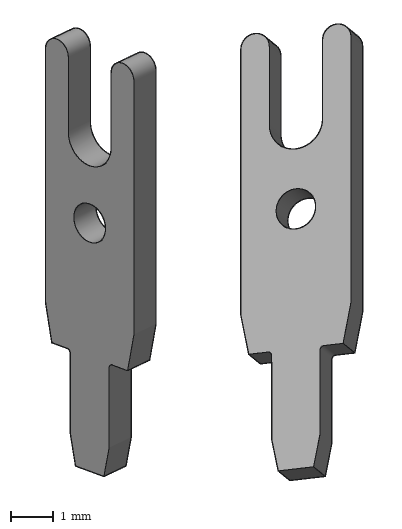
import cadquery as cq

width = 2.8
thickness = 0.8
body_height = 8.0
tail_length = 3.0

slot_radius = 0.675
slot_depth = 3.0
prong_width = width / 2 - slot_radius
prong_radius = prong_width / 2

hole_diameter = 1.0
hole_z = 3.5

shoulder_width = 2.4
shoulder_taper_height = 1.0

tail_width = 1.23
tip_width = 0.9
tip_taper_height = 0.8
root_radius = 0.1


def plate_outline():
    """Closed outline in XZ, symmetric about X = 0, shoulders at Z = 0, starting at the tip's left corner."""
    half_width = width / 2
    half_shoulder = shoulder_width / 2
    half_tail = tail_width / 2
    half_tip = tip_width / 2
    prong_arc_z = body_height - prong_radius
    prong_x = half_width - prong_radius
    slot_bottom_z = body_height - slot_depth
    slot_arc_z = slot_bottom_z + slot_radius
    tip_taper_z = -tail_length + tip_taper_height
    return (
        cq.Workplane("XZ")
        .moveTo(-half_tip, -tail_length)
        .lineTo(-half_tail, tip_taper_z)
        .lineTo(-half_tail, 0)
        .lineTo(-half_shoulder, 0)
        .lineTo(-half_width, shoulder_taper_height)
        .lineTo(-half_width, prong_arc_z)
        .threePointArc((-prong_x, body_height), (-slot_radius, prong_arc_z))
        .lineTo(-slot_radius, slot_arc_z)
        .threePointArc((0, slot_bottom_z), (slot_radius, slot_arc_z))
        .lineTo(slot_radius, prong_arc_z)
        .threePointArc((prong_x, body_height), (half_width, prong_arc_z))
        .lineTo(half_width, shoulder_taper_height)
        .lineTo(half_shoulder, 0)
        .lineTo(half_tail, 0)
        .lineTo(half_tail, tip_taper_z)
        .lineTo(half_tip, -tail_length)
        .close()
    )


def fillet_tail_roots(plate):
    """Round the two inside corners between the tail and the shoulders."""
    for side in (-1, 1):
        corner = (side * tail_width / 2, 0, 0)
        root_edge = cq.selectors.NearestToPointSelector(corner)
        plate = plate.edges("|Y").edges(root_edge).fillet(root_radius)
    return plate


def cut_hole(plate):
    """Drill the round hole through the full thickness."""
    drill = (
        cq.Workplane("XZ")
        .center(0, hole_z)
        .circle(hole_diameter / 2)
        .extrude(thickness)
        .translate((0, thickness / 2, 0))
    )
    return plate.cut(drill)


blank = plate_outline().extrude(thickness).translate((0, thickness / 2, 0))
result = cut_hole(fillet_tail_roots(blank))